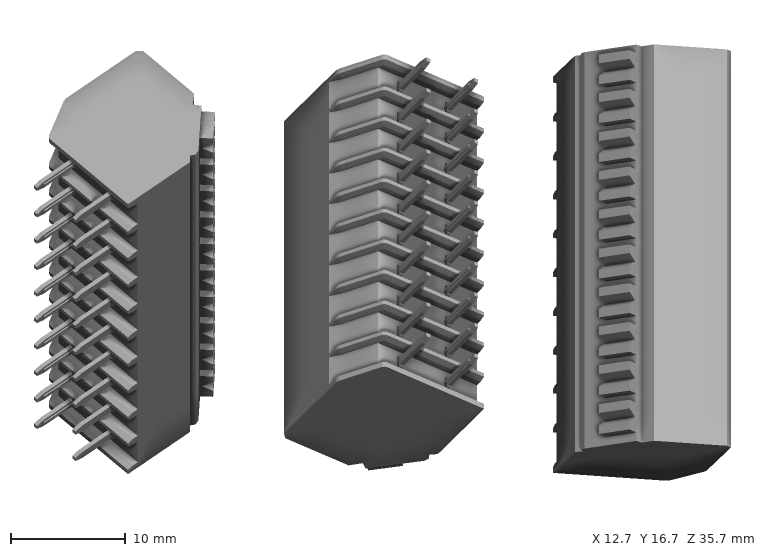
import cadquery as cq
import math


poles = 10
length = 35.7
pitch = 3.5
width = 12.7
depth = 12.85
rear_chamfer = 0.45
front_bevel_x = 2.32
front_bevel_angle = math.radians(60)
front_bevel_y = front_bevel_x * math.tan(front_bevel_angle)
side_corner_radius = 1.15
front_corner_radius = 0.6

rear_flat_end = 7.07
notch_x = 7.93
notch_y = 11.92
slope_start = (8.55, 12.4)
slope_run = 3.68
lip_x = 12.4
lip_y = 8.2
groove_x = 12.15
groove_y = 7.8
right_side_top = 7.3

recess_depth = 1.15
recess_left_x = 2.4
rib_thickness = 0.7
rib_edge_thickness = 0.4
rib_bevel = 0.57
rib_bevel_height = (rib_thickness - rib_edge_thickness) / 2
overhang = 1.8

button_length = 3.07
button_height = 1.18
button_width = 2.68
button_groove_width = 1.1
button_groove_depth = 0.95

pin_tip_y = -3.5
pin_thickness = 0.4
pin_width = 0.8
pin_root_width = 1.55
pin_root_length = 0.43
pin_tip_width = 0.4
pin_tip_length = 0.8
pin_row_x = 4.57
pin_row_spacing = 5.0
pin_bead_width = 0.3
pin_bead_height = 0.1

pole_heights = [(i - (poles - 1) / 2) * pitch for i in range(poles)]


def prism(points, bottom, height):
    return cq.Workplane("XY").workplane(offset=bottom).polyline(points).close().extrude(height)


def right_and_rear_points():
    """Outline from the right front corner round to the left rear chamfer."""
    slope_x, slope_y = slope_start
    return [
        (width, right_side_top),
        (groove_x, groove_y),
        (lip_x, lip_y),
        (slope_x + slope_run, slope_y - slope_run),
        slope_start,
        (notch_x, notch_y),
        (rear_flat_end, depth),
        (rear_chamfer, depth),
        (0, depth - rear_chamfer),
    ]


def round_front_corners(body):
    """Round the vertical edges at both ends of the front left bevel."""
    side_corner = cq.selectors.NearestToPointSelector((0, front_bevel_y, 0))
    body = body.edges(side_corner).fillet(side_corner_radius)
    front_corner = cq.selectors.NearestToPointSelector((front_bevel_x, 0, 0))
    return body.edges(front_corner).fillet(front_corner_radius)


def make_envelope():
    """Full outline of the end plates, over the whole length."""
    front = [(0, front_bevel_y), (front_bevel_x, 0), (width, 0)]
    return round_front_corners(prism(front + right_and_rear_points(), -length / 2, length))


def make_core():
    """Housing with the front recess running over the whole length."""
    recess_left_y = recess_depth + recess_left_x * math.tan(front_bevel_angle)
    front = [(0, recess_left_y), (recess_left_x, recess_depth), (width, recess_depth)]
    return prism(front + right_and_rear_points(), -length / 2, length)


def make_rib(middle):
    """Separating rib whose left and front edges are thinned by a shallow bevel on both faces.

    It overhangs the housing on the right, where its edge stays straight.
    """
    right = width + overhang
    rear = depth - overhang
    points = [(0, front_bevel_y), (front_bevel_x, 0), (right, 0), (right, rear), (0, rear)]
    half_edge = rib_edge_thickness / 2
    slab = round_front_corners(prism(points, 0, half_edge))
    outline = slab.faces(">Z").wires().val()
    bevel_angle = math.degrees(math.atan(rib_bevel / rib_bevel_height))
    rise = cq.Vector(0, 0, rib_bevel_height)
    tapered = cq.Solid.extrudeLinear(outline, [], rise, bevel_angle)
    half = slab.union(cq.Workplane(tapered))
    return half.union(half.mirror("XY")).translate((0, 0, middle))


def make_button(middle):
    """Block standing on the 45 degree slope, with a V groove along its top."""
    plane = cq.Plane(origin=(*slope_start, middle), xDir=(0, 0, -1), normal=(1, -1, 0))
    half_width = button_width / 2
    half_groove = button_groove_width / 2
    profile = [
        (-half_width, 0),
        (half_width, 0),
        (half_width, button_height),
        (half_groove, button_height),
        (0, button_height - button_groove_depth),
        (-half_groove, button_height),
        (-half_width, button_height),
    ]
    return cq.Workplane(plane).polyline(profile).close().extrude(button_length)


def make_pin(x, bead_side, middle):
    """Flat pin with a flared root, a tapered tip and a bead on one face."""
    root_end = recess_depth - pin_root_length
    tip_start = pin_tip_y + pin_tip_length
    half_profile = [
        (recess_depth, pin_root_width / 2),
        (root_end, pin_width / 2),
        (tip_start, pin_width / 2),
        (pin_tip_y, pin_tip_width / 2),
    ]
    mirrored = [(y, -z) for y, z in reversed(half_profile)]
    blade = (
        cq.Workplane("YZ").polyline(half_profile + mirrored).close()
        .extrude(pin_thickness / 2, both=True)
    )
    bead = (
        cq.Workplane("XY")
        .box(
            pin_thickness / 2 + pin_bead_height, recess_depth - tip_start, pin_bead_width,
            centered=(False, False, True),
        )
        .translate((0, tip_start, 0))
    )
    if bead_side < 0:
        bead = bead.mirror("YZ")
    return blade.union(bead).translate((x, 0, middle))


envelope = make_envelope()
result = make_core()

end_rib = (length - rib_thickness) / 2
for rib_index in range(poles + 1):
    result = result.union(make_rib(-end_rib + rib_index * pitch).intersect(envelope))

end_plate_thickness = rib_thickness - rib_bevel_height
for bottom in (-length / 2, length / 2 - end_plate_thickness):
    slice_box = cq.Workplane("XY").box(width, depth, end_plate_thickness, centered=False)
    result = result.union(slice_box.translate((0, 0, bottom)).intersect(envelope))

for height in pole_heights:
    result = result.union(make_button(height))
    result = result.union(make_pin(pin_row_x, 1, height))
    result = result.union(make_pin(pin_row_x + pin_row_spacing, -1, height))